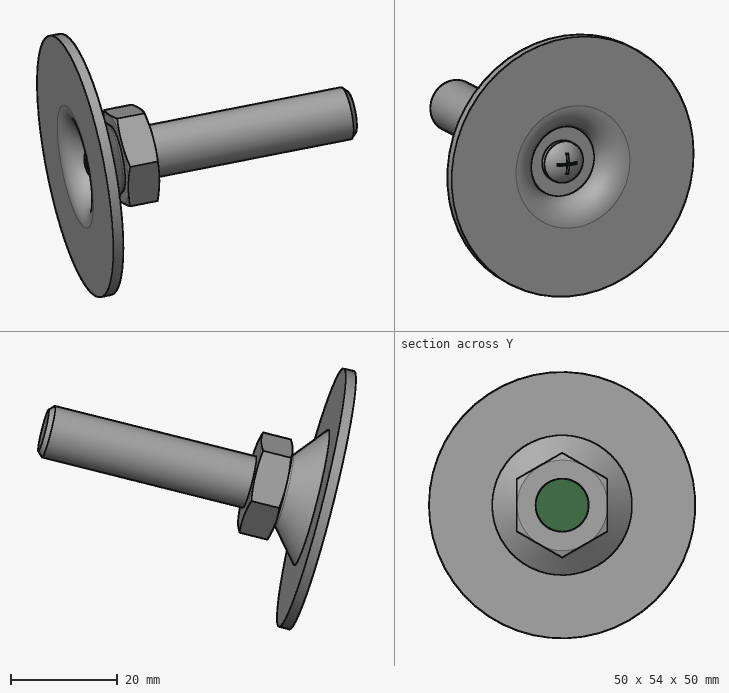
import cadquery as cq
import math

total_length = 54.0

plate_diameter = 50.0
plate_thickness = 2.0
hub_base_diameter = 26.25
hub_top_diameter = 13.6
cone_top = 7.35
hub_end_diameter = 12.85

recess_floor_diameter = 13.5
recess_depth = 5.0

head_diameter = 8.0
head_rim_height = 1.0
head_dome_height = 2.0
cross_length = 4.0
cross_width = 0.45
cross_depth = 1.0

nut_start = 7.9
nut_end = 14.0
nut_across_flats = 17.0
hexagon_half_angle = 30.0
nut_chamfer_angle = 15.0
rod_diameter = 10.0
rod_chamfer = 0.95

head_tip = recess_depth - head_rim_height - head_dome_height


def cylinder(diameter, start, end):
    """Solid cylinder on the Y axis between two Y positions."""
    return cq.Workplane("XZ", origin=(0, start, 0)).circle(diameter / 2).extrude(start - end)


def foot():
    """Revolved plate and hub, hollowed by a quarter-round flare."""
    floor_radius = recess_floor_diameter / 2
    flare_center = floor_radius + recess_depth
    flare_offset = recess_depth * math.sqrt(0.5)
    return (
        cq.Workplane("XY")
        .moveTo(0, recess_depth)
        .lineTo(floor_radius, recess_depth)
        .threePointArc(
            (flare_center - flare_offset, recess_depth - flare_offset),
            (flare_center, 0),
        )
        .lineTo(plate_diameter / 2, 0)
        .lineTo(plate_diameter / 2, plate_thickness)
        .lineTo(hub_base_diameter / 2, plate_thickness)
        .lineTo(hub_top_diameter / 2, cone_top)
        .lineTo(hub_end_diameter / 2, nut_start)
        .lineTo(0, nut_start)
        .close()
        .revolve(360, (0, 0, 0), (0, 1, 0))
    )


def screw_head():
    """Short rim and spherical dome with a cross recess."""
    radius = head_diameter / 2
    rim = recess_depth - head_rim_height
    sphere_radius = (radius**2 + head_dome_height**2) / (2 * head_dome_height)
    half_angle = math.asin(radius / sphere_radius) / 2
    dome_middle = (
        sphere_radius * math.sin(half_angle),
        head_tip + sphere_radius * (1 - math.cos(half_angle)),
    )
    head = (
        cq.Workplane("XY")
        .moveTo(0, head_tip)
        .threePointArc(dome_middle, (radius, rim))
        .lineTo(radius, recess_depth)
        .lineTo(0, recess_depth)
        .close()
        .revolve(360, (0, 0, 0), (0, 1, 0))
    )
    for width, height in ((cross_length, cross_width), (cross_width, cross_length)):
        slot = (
            cq.Workplane("XZ", origin=(0, head_tip + cross_depth, 0))
            .rect(width, height)
            .extrude(cross_depth)
        )
        head = head.cut(slot)
    return head


def nut():
    """Hexagon with corners toward +Z and -Z, both ends turned to a cone."""
    flat_radius = nut_across_flats / 2
    corner_radius = flat_radius / math.cos(math.radians(hexagon_half_angle))
    chamfer_height = (corner_radius - flat_radius) * math.tan(math.radians(nut_chamfer_angle))
    hexagon = (
        cq.Workplane("XZ", origin=(0, nut_start, 0))
        .transformed(rotate=(0, 0, hexagon_half_angle))
        .polygon(6, 2 * corner_radius)
        .extrude(nut_start - nut_end)
    )
    turned_blank = (
        cylinder(2 * corner_radius, nut_start, nut_end)
        .faces("<Y or >Y")
        .chamfer(chamfer_height, corner_radius - flat_radius)
    )
    return hexagon.intersect(turned_blank)


def rod():
    """Rod from the nut to the chamfered free end."""
    return cylinder(rod_diameter, nut_start, total_length).faces(">Y").chamfer(rod_chamfer)


result = foot().union(screw_head()).union(nut()).union(rod())